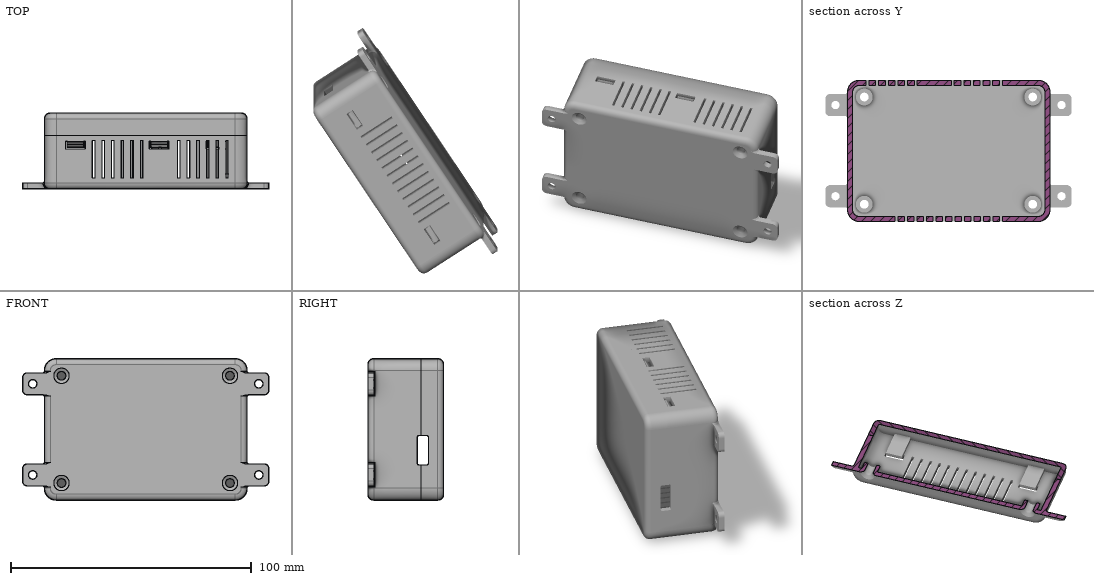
import cadquery as cq

LENGTH = 84.2
WIDTH = 58.8
DEPTH = 31.5
PARTING_Y = 22.1
WALL = 2.3
FLOOR = 2.5
CEILING = 2.5
CORNER_RADIUS = 5.0
RIM_RADIUS = 2.5
INNER_LENGTH = LENGTH - 2 * WALL
INNER_WIDTH = WIDTH - 2 * WALL
INNER_CORNER_RADIUS = CORNER_RADIUS - WALL

TAB_SPAN = 102.2
TAB_WIDTH = 9.2
TAB_THICKNESS = RIM_RADIUS
TAB_CORNER_RADIUS = 2.0
TAB_Z = 18.9
TAB_HOLE_X = 46.9
TAB_HOLE_DIAMETER = 3.4
TAB_ROOT_CHAMFER = 0.5

SCREW_X = 34.95
SCREW_Z = 22.25
SCREW_DIAMETER = 3.6
SCREW_HEAD_DIAMETER = 6.4
SCREW_HEAD_DEPTH = 1.1
BOSS_DIAMETER = 7.0
BOSS_TOP_Y = 6.2

SLOT_WIDTH = 1.0
SLOT_BOTTOM_Y = 4.6
SLOT_TOP_Y = 20.0
SLOT_MIDDLE_X = 21.65
UPPER_SLOT_PITCH = 4.0
UPPER_SLOTS_PER_GROUP = 6
UPPER_GROUP_STARTS = (-SLOT_MIDDLE_X, 13.7)
LOWER_SLOT_COUNT = 12
LOWER_SLOT_PITCH = 2 * SLOT_MIDDLE_X / (LOWER_SLOT_COUNT - 1)

SNAP_X = 29.2
UPPER_SNAP_XS = (-SNAP_X, 5.55)
LOWER_SNAP_XS = (-SNAP_X, SNAP_X)
WINDOW_LENGTH = 8.0
WINDOW_BOTTOM_Y = 16.6
WINDOW_TOP_Y = 19.7
CLIP_LENGTH = 7.0
CLIP_THICKNESS = 1.5
CLIP_END_Y = 17.2
CLIP_ROOT_Y = DEPTH - CEILING
HOOK_HEIGHT = 1.3
HOOK_LAND_BOTTOM_Y = 18.5
HOOK_TOP_Y = 19.1

PORT_BOTTOM_Y = 20.6
PORT_TOP_Y = 25.15
PORT_LOW_Z = -14.7
PORT_HIGH_Z = -2.6
PORT_CORNER_RADIUS = 0.6


def block(x_range, y_range, z_range):
    """Axis-aligned box given by its limits."""
    sizes = [high - low for low, high in (x_range, y_range, z_range)]
    corner = (x_range[0], y_range[0], z_range[0])
    return cq.Workplane("XY").box(*sizes, centered=False).translate(corner)


def rounded_prism(length, width, radius, bottom_y, top_y):
    """Block along Y with its four long edges rounded."""
    return (
        cq.Workplane("XZ", origin=(0, bottom_y, 0))
        .rect(length, width)
        .extrude(bottom_y - top_y)
        .edges("|Y")
        .fillet(radius)
    )


def cylinder_y(x, z, diameter, bottom_y, top_y):
    """Cylinder along Y."""
    return cq.Workplane("XZ", origin=(x, bottom_y, z)).circle(diameter / 2).extrude(bottom_y - top_y)


def tab_root(z):
    """Chamfered collar where the +X tab at this height leaves the side wall and its rounded rim."""
    rim_x = LENGTH / 2 - RIM_RADIUS
    half_wide = TAB_WIDTH / 2 + TAB_ROOT_CHAMFER
    half_narrow = TAB_WIDTH / 2
    outer = RIM_RADIUS + TAB_ROOT_CHAMFER
    inner = RIM_RADIUS / 2
    flare = [(inner, -half_wide), (RIM_RADIUS, -half_wide), (outer, -half_narrow)]
    flare += [(radius, -z_offset) for radius, z_offset in reversed(flare)]

    profile = cq.Sketch().polygon([*flare, flare[0]])
    rim_axis = cq.Workplane("XZ", origin=(rim_x, RIM_RADIUS, z))
    around_rim = rim_axis.placeSketch(profile).revolve(90, (0, 0), (0, -1))
    around_rim = around_rim.intersect(block((0, TAB_SPAN), (0, RIM_RADIUS), (-WIDTH, WIDTH)))
    above_tab = rim_axis.placeSketch(profile).extrude(-TAB_ROOT_CHAMFER)
    slope = (
        cq.Workplane("XY", origin=(rim_x, RIM_RADIUS, -WIDTH / 2))
        .polyline([(0, 0), (outer, 0), (RIM_RADIUS, TAB_ROOT_CHAMFER), (0, TAB_ROOT_CHAMFER)])
        .close()
        .extrude(WIDTH)
    )
    return around_rim.union(above_tab.intersect(slope))


def add_tabs(body):
    """Four flat tabs, flush with the mounting face and chamfered where they leave the body."""
    for z in (-TAB_Z, TAB_Z):
        strip = rounded_prism(TAB_SPAN, TAB_WIDTH, TAB_CORNER_RADIUS, 0, TAB_THICKNESS)
        root = tab_root(z)
        body = body.union(strip.translate((0, 0, z))).union(root).union(root.mirror("YZ"))
        for x in (-TAB_HOLE_X, TAB_HOLE_X):
            body = body.cut(cylinder_y(x, z, TAB_HOLE_DIAMETER, 0, TAB_THICKNESS))
    return body


def screw_countersink(x, z):
    """Cone that narrows from the mounting face down to the screw hole."""
    cone = cq.Solid.makeCone(
        SCREW_HEAD_DIAMETER / 2,
        SCREW_DIAMETER / 2,
        SCREW_HEAD_DEPTH,
        pnt=cq.Vector(x, 0, z),
        dir=cq.Vector(0, 1, 0),
    )
    return cq.Workplane(cone)


def add_screws(body):
    """Four bosses on the floor, each with a hole countersunk from the mounting face."""
    for x in (-SCREW_X, SCREW_X):
        for z in (-SCREW_Z, SCREW_Z):
            body = body.union(cylinder_y(x, z, BOSS_DIAMETER, FLOOR, BOSS_TOP_Y))
            body = body.cut(cylinder_y(x, z, SCREW_DIAMETER, 0, BOSS_TOP_Y))
            body = body.cut(screw_countersink(x, z))
    return body


def make_port():
    """Bar that cuts the cable opening, shared by base and lid, through both end walls."""
    return (
        block((-LENGTH, LENGTH), (PORT_BOTTOM_Y, PORT_TOP_Y), (PORT_LOW_Z, PORT_HIGH_Z))
        .edges("|X")
        .fillet(PORT_CORNER_RADIUS)
    )


def cut_wall(body, xs, length, bottom_y, top_y, side):
    """Rectangular openings at xs through one long wall; side is +1 or -1 along Z."""
    wall_faces = sorted((side * INNER_WIDTH / 2, side * WIDTH / 2))
    for x in xs:
        body = body.cut(block((x - length / 2, x + length / 2), (bottom_y, top_y), wall_faces))
    return body


def cut_openings(body):
    """Ventilation slots and snap windows in both long walls."""
    for start in UPPER_GROUP_STARTS:
        xs = [start + i * UPPER_SLOT_PITCH for i in range(UPPER_SLOTS_PER_GROUP)]
        body = cut_wall(body, xs, SLOT_WIDTH, SLOT_BOTTOM_Y, SLOT_TOP_Y, 1)
    xs = [-SLOT_MIDDLE_X + i * LOWER_SLOT_PITCH for i in range(LOWER_SLOT_COUNT)]
    body = cut_wall(body, xs, SLOT_WIDTH, SLOT_BOTTOM_Y, SLOT_TOP_Y, -1)
    body = cut_wall(body, UPPER_SNAP_XS, WINDOW_LENGTH, WINDOW_BOTTOM_Y, WINDOW_TOP_Y, 1)
    return cut_wall(body, LOWER_SNAP_XS, WINDOW_LENGTH, WINDOW_BOTTOM_Y, WINDOW_TOP_Y, -1)


def make_base():
    """Open box with the mounting tabs, screw bosses and wall openings."""
    base = rounded_prism(LENGTH, WIDTH, CORNER_RADIUS, 0, PARTING_Y)
    base = base.faces("<Y").edges().fillet(RIM_RADIUS)
    base = add_tabs(base)
    base = base.cut(rounded_prism(INNER_LENGTH, INNER_WIDTH, INNER_CORNER_RADIUS, FLOOR, PARTING_Y))
    base = add_screws(base)
    base = cut_openings(base)
    return base.cut(make_port())


def snap_clip(x):
    """Leg on the inside of the upper wall, hooked outward into a snap window."""
    leg_face = INNER_WIDTH / 2
    hook_face = leg_face + HOOK_HEIGHT
    leg_back = leg_face - CLIP_THICKNESS
    return (
        cq.Workplane("YZ", origin=(x - CLIP_LENGTH / 2, 0, 0))
        .polyline(
            [
                (CLIP_ROOT_Y, leg_back),
                (CLIP_END_Y, leg_back),
                (CLIP_END_Y, leg_face),
                (HOOK_LAND_BOTTOM_Y, hook_face),
                (HOOK_TOP_Y, hook_face),
                (HOOK_TOP_Y, leg_face),
                (CLIP_ROOT_Y, leg_face),
            ]
        )
        .close()
        .extrude(CLIP_LENGTH)
    )


def make_lid():
    """Shallow cover that closes the base, with four hooked clips."""
    lid = rounded_prism(LENGTH, WIDTH, CORNER_RADIUS, PARTING_Y, DEPTH)
    lid = lid.faces(">Y").edges().fillet(RIM_RADIUS)
    lid = lid.cut(rounded_prism(INNER_LENGTH, INNER_WIDTH, INNER_CORNER_RADIUS, PARTING_Y, CLIP_ROOT_Y))
    for x in UPPER_SNAP_XS:
        lid = lid.union(snap_clip(x))
    for x in LOWER_SNAP_XS:
        lid = lid.union(snap_clip(x).mirror("XY"))
    return lid.cut(make_port())


base = make_base()
lid = make_lid()

result = cq.Compound.makeCompound([*base.solids().vals(), *lid.solids().vals()])